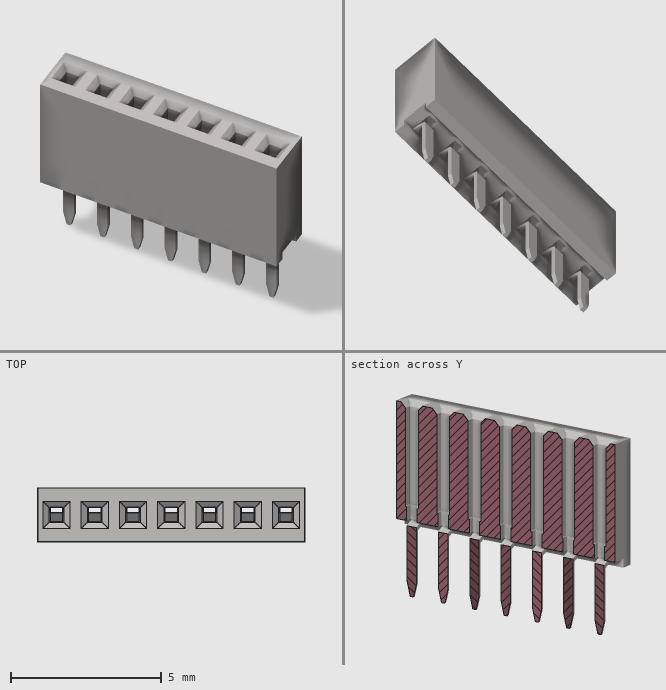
import cadquery as cq
import math

contact_count = 7
pitch = 1.27

housing_length = 8.89
housing_width = 1.8
housing_height = 4.4
recess_width = 0.98
recess_depth = 0.3

funnel_mouth = 0.9
socket_side = 0.5
funnel_depth = (funnel_mouth - socket_side) / 2
outlet_height = 0.5
outlet_ledge = 0.04

pin_width = 0.4
pin_thickness = 0.15
pin_reach = 2.3
tip_width = 0.15
tip_length = 0.5
bend_inner_radius = 0.02
bend_angle = math.radians(64)

contact_places = [(i - (contact_count - 1) / 2) * pitch for i in range(contact_count)]


def make_socket_cut(x):
    """Space of one socket: tapered lead-in, square hole and narrowed outlet."""
    funnel = (
        cq.Workplane("XY", origin=(x, 0, housing_height - funnel_depth))
        .rect(socket_side, socket_side)
        .workplane(offset=funnel_depth)
        .rect(funnel_mouth, funnel_mouth)
        .loft(ruled=True)
    )
    ledge_height = recess_depth + outlet_height
    hole = (
        cq.Workplane("XY", origin=(x, 0, ledge_height))
        .rect(socket_side, socket_side)
        .extrude(housing_height - funnel_depth - ledge_height)
    )
    outlet = (
        cq.Workplane("XY", origin=(x, outlet_ledge / 2, recess_depth))
        .rect(pin_width, socket_side - outlet_ledge)
        .extrude(outlet_height)
    )
    return funnel.union(hole).union(outlet)


def make_housing():
    """Block with a lengthwise recess below and a row of sockets."""
    body = cq.Workplane("XY").box(
        housing_length, housing_width, housing_height, centered=(True, True, False)
    )
    recess = cq.Workplane("XY").box(
        housing_length, recess_width, recess_depth, centered=(True, True, False)
    )
    body = body.cut(recess)
    for x in contact_places:
        body = body.cut(make_socket_cut(x))
    return body


def make_bent_strip(x):
    """Full-width strip: vertical leg, bend and sloped arm ending on the recess ceiling and wall."""
    half_thickness = pin_thickness / 2
    bend_outer_radius = bend_inner_radius + pin_thickness
    bend_center_y = -half_thickness - bend_inner_radius
    arm_slope = 1 / math.tan(bend_angle)
    wall_y = -recess_width / 2

    def on_bend(radius, angle):
        return (bend_center_y + radius * math.cos(angle), radius * math.sin(angle))

    outer_end = on_bend(bend_outer_radius, bend_angle)
    inner_end = on_bend(bend_inner_radius, bend_angle)
    arm_top_y = outer_end[0] - (recess_depth - outer_end[1]) / arm_slope
    arm_foot_z = inner_end[1] + (inner_end[0] - wall_y) * arm_slope

    return (
        cq.Workplane("YZ", origin=(x - pin_width / 2, 0, 0))
        .moveTo(-half_thickness, -pin_reach)
        .lineTo(half_thickness, -pin_reach)
        .lineTo(half_thickness, 0)
        .threePointArc(on_bend(bend_outer_radius, bend_angle / 2), outer_end)
        .lineTo(arm_top_y, recess_depth)
        .lineTo(wall_y, recess_depth)
        .lineTo(wall_y, arm_foot_z)
        .lineTo(*inner_end)
        .threePointArc(on_bend(bend_inner_radius, bend_angle / 2), (-half_thickness, 0))
        .close()
        .extrude(pin_width)
    )


def make_pin(x):
    """Bent strip with both side edges tapered towards the tip."""
    pin = make_bent_strip(x)
    for side in (-1, 1):
        tip_waste = (
            cq.Workplane("XZ", origin=(x, 0, -pin_reach))
            .polyline([
                (side * tip_width / 2, 0),
                (side * pin_width / 2, 0),
                (side * pin_width / 2, tip_length),
            ])
            .close()
            .extrude(pin_thickness, both=True)
        )
        pin = pin.cut(tip_waste)
    return pin


housing = make_housing()
pins = [make_pin(x) for x in contact_places]

result = cq.Compound.makeCompound([housing.solids().val(), *[pin.solids().val() for pin in pins]])